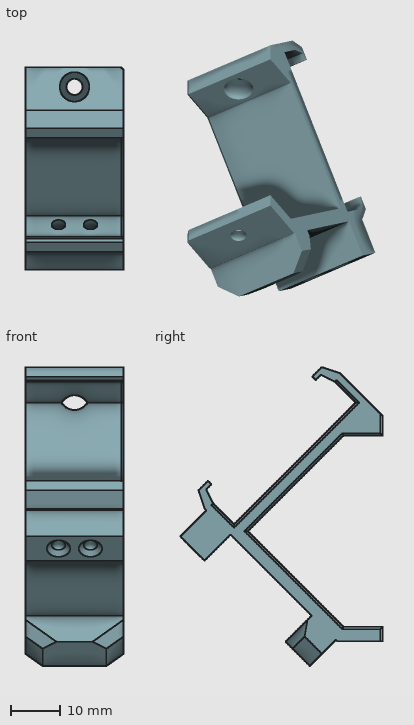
import cadquery as cq
import math

ROOT2 = math.sqrt(2)
TILT = 45

width = 20.0
plate = 3.0
plate_length = 27.5

slot_low = -1.0
slot_high = 34.0
rail_wall = 2.0
rail_outer = slot_high + rail_wall
wall_top = 9.0
wall_outer_top = 9.5
hook_height = 13.0
hook_thickness = 1.0
hook_inset = 1.0
hook_crown = 0.25
lip = 1.5

block_depth = 7.5
block_size = 7.0
block_low = wall_top - block_size
block_end = -plate - block_depth
foot_low = -28.32
foot_corner_cut = 3.5
foot_edge_cut = 2.0

screw_diameter = 2.75
screw_spacing = 6.5
screw_sink_depth = 1.0
screw_sink_diameter = screw_diameter + 2 * screw_sink_depth

leg_reach = 8.0
leg_near = plate_length / ROOT2
leg_far = leg_near + leg_reach
leg_hole_diameter = 3.25
access_diameter = 6.0
edge_chamfer = 0.5


def prism(points):
    """Extrude a (Y, Z) outline over the full width."""
    return cq.Workplane("YZ").polyline(points).close().extrude(width)


def rectangle(y_low, y_high, z_low, z_high):
    return prism([(y_low, z_low), (y_high, z_low), (y_high, z_high), (y_low, z_high)])


def clip_arm(wall, inward):
    """Slot wall with its hook; inward is the direction of the lip, +1 or -1 along Y."""
    under = hook_height - hook_thickness
    outer = wall - inward * rail_wall
    tip = wall + inward * (hook_inset + lip)
    return prism([
        (wall, plate),
        (wall, wall_top),
        (wall + inward * hook_inset, under),
        (tip, under),
        (tip, hook_height),
        (wall - inward * hook_crown, hook_height),
        (outer, wall_outer_top),
        (outer, plate),
    ])


def foot():
    """Block under the lower plate with both outer corners cut and bevelled."""
    body = rectangle(block_end, -plate, foot_low, foot_low + block_size)
    body = body.edges("|Z and <Y").chamfer(foot_corner_cut)
    top_slanted = body.faces(">Z").edges("not (|X or |Y)")
    return top_slanted.chamfer(foot_edge_cut)


def screw_holes():
    """Pair of countersunk holes from the block end to the slot."""
    profile = [
        (0, block_end),
        (screw_sink_diameter / 2, block_end),
        (screw_diameter / 2, block_end + screw_sink_depth),
        (screw_diameter / 2, slot_low),
        (0, slot_low),
    ]
    hole = cq.Workplane("XY").polyline(profile).close().revolve(360, (0, 0), (0, 1))
    height = block_low + block_size / 2
    cutters = cq.Workplane("XY")
    for side in (-1, 1):
        x = width / 2 + side * screw_spacing / 2
        cutters = cutters.add(hole.translate((x, 0, height)))
    return cutters.combine()


def slot_chamfer():
    """Tapered plug that bevels the slot edges on the +X side, up to the hooks."""
    face = cq.Workplane("YZ", origin=(width, 0, 0))
    middle = (slot_low + slot_high) / 2
    length = slot_high - slot_low + 2 * edge_chamfer
    height = 2 * (wall_top - plate + edge_chamfer)
    plug = face.center(middle, wall_top).rect(length, height).extrude(-edge_chamfer, taper=TILT)
    upper_half = rectangle(slot_low - plate, slot_high + plate, wall_top, 2 * hook_height)
    return plug.cut(upper_half)


def tilted_body():
    lower_plate_end = -plate_length - (ROOT2 - 1) * plate
    body = rectangle(-plate, rail_outer, 0, plate)
    body = body.union(rectangle(-plate, 0, lower_plate_end, plate))
    body = body.union(rectangle(block_end, slot_low, block_low, wall_top))
    body = body.union(clip_arm(slot_high, -1))
    body = body.union(clip_arm(slot_low, 1))
    body = body.union(foot())
    body = body.cut(screw_holes()).cut(slot_chamfer())
    return body.rotate((0, 0, 0), (1, 0, 0), TILT)


def upper_leg():
    return prism([
        (leg_near, leg_near),
        (leg_far, leg_near),
        (leg_far, rail_outer * ROOT2 - leg_far),
        (rail_outer / ROOT2, rail_outer / ROOT2),
    ])


def lower_leg():
    bottom = -leg_near - plate
    return prism([
        (leg_near, -leg_near),
        (leg_far, -leg_near),
        (leg_far, bottom),
        (-bottom - plate * ROOT2, bottom),
    ])


def leg_bore(diameter, z_low, z_high):
    """Vertical hole at the middle of a leg."""
    start = cq.Workplane("XY", origin=(width / 2, leg_near + leg_reach / 2, z_low))
    return start.circle(diameter / 2).extrude(z_high - z_low)


def on_mouth(edge):
    """True for the edges that line the inside of the V and the ends of the legs."""
    tolerance = 0.01
    y = edge.Center().y
    z = abs(edge.Center().z)
    inside_v = z < leg_near + tolerance and y > z - tolerance
    return inside_v or y > leg_far - tolerance


result = tilted_body().union(upper_leg()).union(lower_leg())
result = result.faces(">X").edges().filter(on_mouth).chamfer(edge_chamfer)
result = result.cut(leg_bore(access_diameter, 0, slot_high))
result = result.cut(leg_bore(leg_hole_diameter, -slot_high, 0))